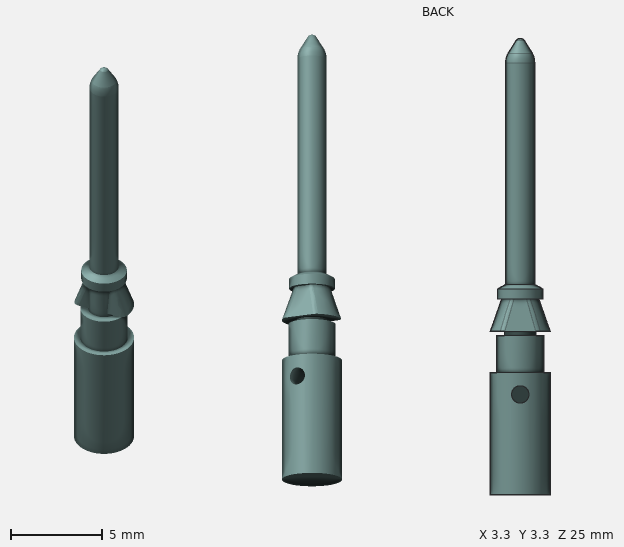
import cadquery as cq

total_height = 25.0
barrel_radius = 1.65
barrel_top = 6.7
shoulder_radius = 1.3
shoulder_top = 8.72
neck_radius = 0.88
collar_radius = 1.25
collar_bottom = 10.72
collar_edge = 11.28
collar_top = 11.52
pin_radius = 0.8

pin_straight_top = 23.65
tip_cone_bottom = 24.18
tip_cone_radius = 0.68
tip_round_bulge = 0.038
tip_end_radius = 0.22
tip_dome_height = 0.1

skirt_bottom = 8.95
skirt_top_radius = 1.02
skirt_bottom_radius = barrel_radius
skirt_front_bottom = -0.7
skirt_front_top = -0.6
skirt_back_bottom = 1.32
skirt_back_top = 0.92
skirt_corner_radius = 0.38

hole_diameter = 0.95
hole_height = 5.5


def turned_body():
    """Revolve the stepped half profile; profile Y becomes the part's Z."""
    tip_cone_top = total_height - tip_dome_height
    round_middle = (
        (pin_radius + tip_cone_radius) / 2 + tip_round_bulge,
        (pin_straight_top + tip_cone_bottom) / 2,
    )
    dome_radius = (tip_end_radius**2 + tip_dome_height**2) / (2 * tip_dome_height)
    dome_middle_x = tip_end_radius / 2
    dome_middle_z = total_height - dome_radius + (dome_radius**2 - dome_middle_x**2) ** 0.5
    return (
        cq.Workplane("XZ")
        .moveTo(0, 0)
        .lineTo(barrel_radius, 0)
        .lineTo(barrel_radius, barrel_top)
        .lineTo(shoulder_radius, barrel_top)
        .lineTo(shoulder_radius, shoulder_top)
        .lineTo(neck_radius, shoulder_top)
        .lineTo(neck_radius, collar_bottom)
        .lineTo(collar_radius, collar_bottom)
        .lineTo(collar_radius, collar_edge)
        .lineTo(pin_radius, collar_top)
        .lineTo(pin_radius, pin_straight_top)
        .threePointArc(round_middle, (tip_cone_radius, tip_cone_bottom))
        .lineTo(tip_end_radius, tip_cone_top)
        .threePointArc((dome_middle_x, dome_middle_z), (0, total_height))
        .close()
        .revolve(360, (0, 0, 0), (0, 1, 0))
    )


def retaining_skirt():
    """Cone widening downward, trimmed by a sloped flat at the front and the back."""
    cone = (
        cq.Workplane("XZ")
        .moveTo(0, skirt_bottom)
        .lineTo(skirt_bottom_radius, skirt_bottom)
        .lineTo(skirt_top_radius, collar_bottom)
        .lineTo(0, collar_bottom)
        .close()
        .revolve(360, (0, 0, 0), (0, 1, 0))
    )
    trim_outline = [
        (skirt_front_bottom, skirt_bottom),
        (skirt_back_bottom, skirt_bottom),
        (skirt_back_top, collar_bottom),
        (skirt_front_top, collar_bottom),
    ]
    trim = cq.Workplane("YZ").polyline(trim_outline).close().extrude(skirt_bottom_radius, both=True)
    side_edges = "%HYPERBOLA"
    return cone.intersect(trim).edges(side_edges).fillet(skirt_corner_radius)


def inspection_hole():
    """Radial hole from the +Y side to the barrel axis."""
    return (
        cq.Workplane("XZ")
        .center(0, hole_height)
        .circle(hole_diameter / 2)
        .extrude(-barrel_radius)
    )


result = turned_body().union(retaining_skirt()).cut(inspection_hole())